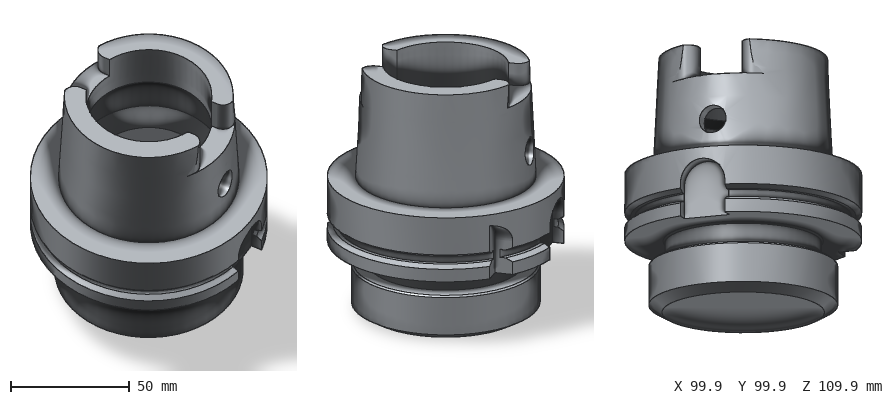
import cadquery as cq
import math

height = 109.9
flange_top = height - 50.0
flange_bottom = 31.0
collar_top = 20.8

flange_radius = 99.9 / 2
neck_radius = 66.0 / 2
collar_radius = 79.7 / 2
taper_top_radius = 35.6
taper_ratio = 1 / 20
taper_base_radius = taper_top_radius + taper_ratio * (height - flange_top)

neck_flare = 0.8
collar_edge = 0.8
bottom_chamfer_width = 5.6
bottom_chamfer_height = 3.2

groove_middle = flange_bottom + 8.9
groove_mouth_width = 6.5
groove_inner_width = 3.5
groove_side_depth = 2.4
groove_depth = 4.3

bore_radius = 53.1 / 2
bore_lip_depth = 20.0
undercut_radius = 63.1 / 2
undercut_angle = math.radians(30)
undercut_end_depth = 40.0
bore_floor_radius = 25.1
bore_bottom_slope = math.radians(45)

slot_half_width = 10.0
slot_corner_radius = slot_half_width / 2
slot_corner_x = 27.4
slot_depth_left = 10.0
slot_depth_right = 1.5 * slot_depth_left

pocket_top = height - 55.0
drive_pocket_width = 20.0
drive_pocket_floor = 44.0
notch_width = 18.0
notch_center_y = 40.1
notch_floor = 31.3

cross_hole_diameter = 12.0
cross_hole_depth = 34.7


def make_body():
    """Revolved outside shape, including the flange groove."""
    inner, mouth = groove_inner_width / 2, groove_mouth_width / 2
    side_radius = flange_radius - groove_side_depth
    groove_radius = flange_radius - groove_depth
    profile = [
        (0, 0),
        (collar_radius - bottom_chamfer_width, 0),
        (collar_radius, bottom_chamfer_height),
        (collar_radius, collar_top - collar_edge),
        (collar_radius - collar_edge, collar_top),
        (neck_radius, collar_top),
        (neck_radius, flange_bottom - neck_flare),
        (neck_radius + neck_flare, flange_bottom),
        (flange_radius, flange_bottom),
        (flange_radius, groove_middle - mouth),
        (side_radius, groove_middle - inner),
        (groove_radius, groove_middle - inner),
        (groove_radius, groove_middle + inner),
        (side_radius, groove_middle + inner),
        (flange_radius, groove_middle + mouth),
        (flange_radius, flange_top),
        (taper_base_radius, flange_top),
        (taper_top_radius, height),
        (0, height),
    ]
    return cq.Workplane("YZ").polyline(profile).close().revolve(360, (0, 0), (0, 1))


def make_bore():
    """Blind bore with an undercut behind its lip and a conical bottom."""
    lip_z = height - bore_lip_depth
    undercut_top = lip_z - (undercut_radius - bore_radius) * math.tan(undercut_angle)
    undercut_bottom = height - undercut_end_depth
    floor_z = undercut_bottom - (undercut_radius - bore_floor_radius) * math.tan(bore_bottom_slope)
    profile = [
        (0, floor_z),
        (bore_floor_radius, floor_z),
        (undercut_radius, undercut_bottom),
        (undercut_radius, undercut_top),
        (bore_radius, lip_z),
        (bore_radius, height),
        (0, height),
    ]
    return cq.Workplane("YZ").polyline(profile).close().revolve(360, (0, 0), (0, 1))


def make_slot(depth):
    """Drive slot on the +X side, flaring outward around its rounded corners."""
    center_y = slot_half_width + slot_corner_radius
    end_angle = math.atan2(center_y, slot_corner_x)
    mid_angle = (end_angle - math.pi / 2) / 2

    def on_corner(angle):
        return (
            slot_corner_x + slot_corner_radius * math.cos(angle),
            center_y + slot_corner_radius * math.sin(angle),
        )

    arc_end = on_corner(end_angle)
    runout = 2 * slot_corner_radius
    tip = (arc_end[0] - runout * math.sin(end_angle), arc_end[1] + runout * math.cos(end_angle))
    outer_x = flange_radius

    half = (
        cq.Workplane("XY", origin=(0, 0, height - depth))
        .moveTo(0, 0)
        .lineTo(0, slot_half_width)
        .lineTo(slot_corner_x, slot_half_width)
        .threePointArc(on_corner(mid_angle), arc_end)
        .lineTo(*tip)
        .lineTo(outer_x, tip[1])
        .lineTo(outer_x, 0)
        .close()
        .extrude(depth)
    )
    return half.union(half.mirror("XZ"))


def make_pocket(width, floor_x, center_y=0):
    """Round-topped cutter on the +X side, open at the flange underside."""
    radius = width / 2
    arc_z = pocket_top - radius
    return (
        cq.Workplane("YZ", origin=(floor_x, 0, 0))
        .moveTo(center_y - radius, flange_bottom)
        .lineTo(center_y - radius, arc_z)
        .threePointArc((center_y, pocket_top), (center_y + radius, arc_z))
        .lineTo(center_y + radius, flange_bottom)
        .close()
        .extrude(flange_radius - floor_x)
    )


def make_cross_hole():
    """Cylinder along X through the taper."""
    return (
        cq.Workplane("YZ", origin=(0, 0, height - cross_hole_depth))
        .circle(cross_hole_diameter / 2)
        .extrude(flange_radius, both=True)
    )


drive_pocket = make_pocket(drive_pocket_width, drive_pocket_floor)
notch = make_pocket(notch_width, notch_floor, notch_center_y)

result = (
    make_body()
    .cut(make_bore())
    .cut(make_slot(slot_depth_right))
    .cut(make_slot(slot_depth_left).mirror("YZ"))
    .cut(drive_pocket)
    .cut(drive_pocket.mirror("YZ"))
    .cut(notch.mirror("YZ"))
    .cut(make_cross_hole())
)